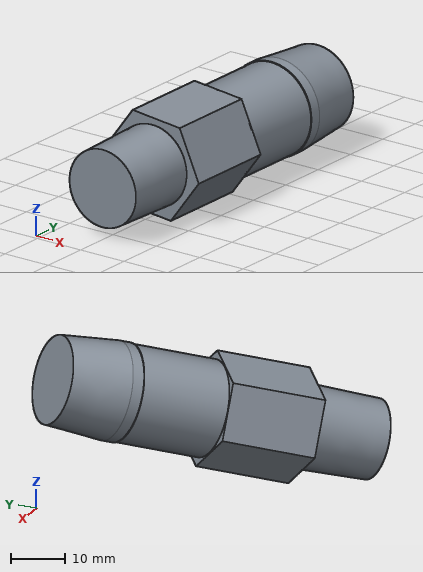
import cadquery as cq

hex_start = 15.15
hex_end = 34.3
collar_start = 52.0
collar_end = 54.35
total_length = 66.2

spigot_tip_diameter = 15.35
spigot_root_diameter = 16.15
body_diameter = 18.55
collar_diameter = 18.9
tail_tip_diameter = 16.95

hex_corner_diameter = 21.85
hex_tilt = -6.2

turned_profile = [
    (0, 0),
    (spigot_tip_diameter / 2, 0),
    (spigot_root_diameter / 2, hex_start),
    (body_diameter / 2, hex_start),
    (body_diameter / 2, collar_start),
    (collar_diameter / 2, collar_start),
    (collar_diameter / 2, collar_end),
    (tail_tip_diameter / 2, total_length),
    (0, total_length),
]
turned_body = (
    cq.Workplane("XY")
    .polyline(turned_profile)
    .close()
    .revolve(360, (0, 0, 0), (0, 1, 0))
)

hexagon = (
    cq.Workplane("XZ", origin=(0, hex_start, 0))
    .polygon(6, hex_corner_diameter)
    .extrude(hex_start - hex_end)
    .rotate((0, 0, 0), (0, 1, 0), -hex_tilt)
)

result = turned_body.union(hexagon)